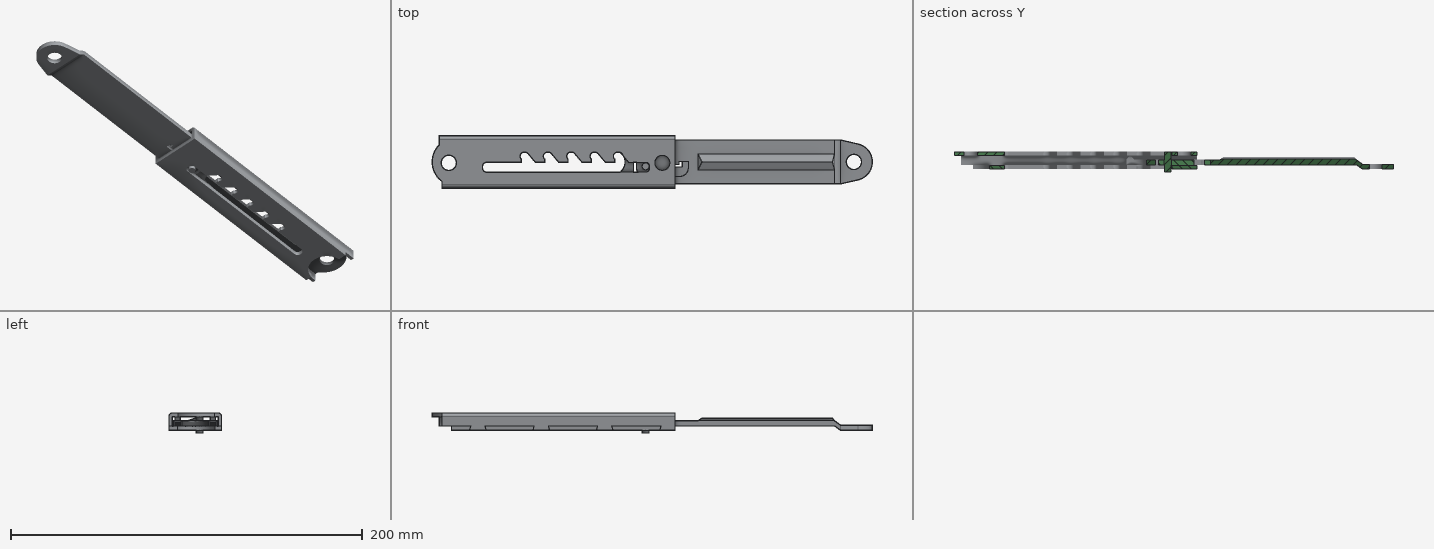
import cadquery as cq
import math

TOTAL_LENGTH = 250.2
WIDTH = 30.0
HALF_WIDTH = WIDTH / 2
HEIGHT = 10.0
HOLE_DIAMETER = 8.5

HOUSING_END = 138.0
TOP_THICKNESS = 2.3
WALL_THICKNESS = 2.0
BEND_RADIUS = 2.13
TIP_RADIUS = 13.8
WALL_STARTS = {1: 4.0, -1: 5.5}
HOUSING_HOLE_X = 9.5
ACCESS_HOLE_X = 130.8
HOLE_Y = -0.5

TAB_COUNT = 4
TAB_PITCH = 36.0
TAB_NECK = 8.0
TAB_FOOT = 9.5
FIRST_TAB_X = HOUSING_END - TAB_NECK / 2 - (TAB_COUNT - 1) * TAB_PITCH

SLOT_START = 28.8
SLOT_END = 123.5
SLOT_TOP = -0.3
SLOT_WIDTH = 5.5
SLOT_Y = SLOT_TOP - SLOT_WIDTH / 2
SLOT_CORNER = 2.3
NOTCH_COUNT = 5
NOTCH_PITCH = 13.3
FIRST_NOTCH_X = 50.0
NOTCH_RADIUS = 2.3
NOTCH_DEPTH = 5.5
NOTCH_FLAT = 0.5
NOTCH_SLOPE = math.radians(50)
NOTCH_LIP = 0.8

COVER_START = 11.0
COVER_THICKNESS = 2.5
COVER_RELIEF_RADIUS = 10.8

ARM_HALF_WIDTH = 12.5
ARM_THICKNESS = 3.0
ARM_BOTTOM = COVER_THICKNESS
ARM_TOP = ARM_BOTTOM + ARM_THICKNESS
ARM_START = 98.0
FORK_BOTTOM = 109.5
FORK_RADIUS = 7.5
STEP_START = 228.7
STEP_END = 232.2
END_RADIUS = 10.5
END_HOLE_X = TOTAL_LENGTH - END_RADIUS

RIDGE_START = 151.0
RIDGE_HALF_WIDTH = 4.5
RIDGE_HEIGHT = 1.5
RIDGE_INNER_TAPER = 2.3
RIDGE_OUTER_TAPER = 1.3

BUMP_Y = 10.0
BUMP_WIDTH = 3.0
BUMP_LENGTH = 4.5
BUMP_HEIGHT = HEIGHT - TOP_THICKNESS - ARM_TOP
FORK_BEVEL = 2.0

WINDOW_START = 114.5
LEVER_START = 116.0
LEVER_SHOULDER = 136.5
LEVER_END = 145.5
LEVER_TOP = 4.3
LEVER_BOTTOM = -8.3
LEVER_CORNER = 5.0
NECK_TOP = -2.8
NECK_GAP = 1.3
NOSE_TOP = 0.3
NOSE_START = 142.0
NOSE_GAP = 1.8

PIN_DIAMETER = 4.0
PIN_X = SLOT_END - SLOT_CORNER
PIN_Y = SLOT_TOP - SLOT_CORNER
PIN_PROJECTION = 1.5
PIN_TOP = HEIGHT


def box(x_start, x_end, y_start, y_end, z_start, z_end):
    return (
        cq.Workplane("XY")
        .box(x_end - x_start, y_end - y_start, z_end - z_start, centered=False)
        .translate((x_start, y_start, z_start))
    )


def upright_cylinder(x, y, diameter, z_start, z_end):
    return (
        cq.Workplane("XY", origin=(x, y, z_start))
        .circle(diameter / 2)
        .extrude(z_end - z_start)
    )


def side_profile(points, y_center, width):
    """Extrude an X-Z outline symmetrically about y_center."""
    return (
        cq.Workplane("XZ", origin=(0, y_center, 0))
        .polyline(points)
        .close()
        .extrude(width / 2, both=True)
    )


def notch_cutter(left):
    """Hooked notch: a rounded head leaning over a lip, with a long slope on its outer side."""
    head_x = left + NOTCH_RADIUS
    head_y = NOTCH_DEPTH - NOTCH_RADIUS
    shoulder_x = head_x + NOTCH_FLAT
    lip_x = left + NOTCH_LIP
    lip_y = head_y - math.sqrt(NOTCH_RADIUS**2 - (head_x - lip_x) ** 2)
    slope_x = shoulder_x + NOTCH_RADIUS * math.sin(NOTCH_SLOPE)
    slope_y = head_y + NOTCH_RADIUS * math.cos(NOTCH_SLOPE)
    foot_x = slope_x + (slope_y - SLOT_TOP) / math.tan(NOTCH_SLOPE)
    return (
        cq.Workplane("XY")
        .moveTo(lip_x, SLOT_Y)
        .lineTo(lip_x, lip_y)
        .threePointArc((left, head_y), (head_x, NOTCH_DEPTH))
        .lineTo(shoulder_x, NOTCH_DEPTH)
        .tangentArcPoint((slope_x, slope_y), relative=False)
        .lineTo(foot_x, SLOT_TOP)
        .lineTo(foot_x, SLOT_Y)
        .close()
        .extrude(HEIGHT)
    )


def slot_cutter():
    slot = box(SLOT_START, SLOT_END, SLOT_TOP - SLOT_WIDTH, SLOT_TOP, 0, HEIGHT)
    slot = slot.edges("|Z").fillet(SLOT_CORNER)
    for index in range(NOTCH_COUNT):
        slot = slot.union(notch_cutter(FIRST_NOTCH_X + index * NOTCH_PITCH))
    return slot


def dovetail_tabs():
    """Tabs of both walls, each widening downward through the cover thickness."""
    tabs = cq.Workplane("XY")
    for side in (1, -1):
        wall_middle = side * (HALF_WIDTH - WALL_THICKNESS / 2)
        for index in range(TAB_COUNT):
            x = FIRST_TAB_X + index * TAB_PITCH
            outline = [
                (x - TAB_FOOT / 2, 0),
                (x + TAB_FOOT / 2, 0),
                (x + TAB_NECK / 2, COVER_THICKNESS),
                (x - TAB_NECK / 2, COVER_THICKNESS),
            ]
            tabs = tabs.add(side_profile(outline, wall_middle, WALL_THICKNESS))
    within_length = box(0, HOUSING_END, -HALF_WIDTH, HALF_WIDTH, 0, COVER_THICKNESS)
    return tabs.combine().intersect(within_length)


def make_housing():
    channel = box(0, HOUSING_END, -HALF_WIDTH, HALF_WIDTH, COVER_THICKNESS, HEIGHT)
    channel = channel.edges("|X and >Z").fillet(BEND_RADIUS)
    inner_half_width = HALF_WIDTH - WALL_THICKNESS
    channel = channel.cut(
        box(0, HOUSING_END, -inner_half_width, inner_half_width, COVER_THICKNESS, HEIGHT - TOP_THICKNESS)
    )
    tip_disc = upright_cylinder(TIP_RADIUS, 0, 2 * TIP_RADIUS, 0, HEIGHT)
    for side, wall_start in WALL_STARTS.items():
        y_low, y_high = sorted((0, side * HALF_WIDTH))
        corner = box(0, wall_start, y_low, y_high, 0, HEIGHT)
        channel = channel.cut(corner.cut(tip_disc))
    for x in (HOUSING_HOLE_X, ACCESS_HOLE_X):
        channel = channel.cut(upright_cylinder(x, HOLE_Y, HOLE_DIAMETER, 0, HEIGHT))
    return channel.cut(slot_cutter()).union(dovetail_tabs())


def make_cover():
    plate = box(COVER_START, HOUSING_END, -HALF_WIDTH, HALF_WIDTH, 0, COVER_THICKNESS)
    relief = upright_cylinder(HOUSING_HOLE_X, HOLE_Y, 2 * COVER_RELIEF_RADIUS, 0, COVER_THICKNESS)
    return plate.cut(relief).cut(slot_cutter()).cut(dovetail_tabs())


def arm_strip():
    """Strip with its outer end stepped down level with the cover underside."""
    outline = [
        (ARM_START, ARM_BOTTOM),
        (STEP_START, ARM_BOTTOM),
        (STEP_END, 0),
        (TOTAL_LENGTH, 0),
        (TOTAL_LENGTH, ARM_THICKNESS),
        (STEP_END, ARM_THICKNESS),
        (STEP_START, ARM_TOP),
        (ARM_START, ARM_TOP),
    ]
    return side_profile(outline, 0, 2 * ARM_HALF_WIDTH)


def arm_plan():
    """Plan outline: straight sides running tangentially into the rounded end."""
    offset_x = END_HOLE_X - STEP_END
    corner_distance = math.hypot(offset_x, ARM_HALF_WIDTH)
    corner_angle = math.atan2(ARM_HALF_WIDTH, -offset_x)
    tangent_angle = corner_angle - math.acos(END_RADIUS / corner_distance)
    tangent_x = END_HOLE_X + END_RADIUS * math.cos(tangent_angle)
    tangent_y = END_RADIUS * math.sin(tangent_angle)
    return (
        cq.Workplane("XY")
        .moveTo(ARM_START, -ARM_HALF_WIDTH)
        .lineTo(STEP_END, -ARM_HALF_WIDTH)
        .lineTo(tangent_x, -tangent_y)
        .threePointArc((TOTAL_LENGTH, 0), (tangent_x, tangent_y))
        .lineTo(STEP_END, ARM_HALF_WIDTH)
        .lineTo(ARM_START, ARM_HALF_WIDTH)
        .close()
        .extrude(HEIGHT)
    )


def arm_ridge():
    """Stiffening ridge of triangular section with sloped ends."""
    crest = ARM_TOP + RIDGE_HEIGHT
    section = (
        cq.Workplane("YZ", origin=(RIDGE_START, 0, 0))
        .polyline([(-RIDGE_HALF_WIDTH, ARM_TOP), (RIDGE_HALF_WIDTH, ARM_TOP), (0, crest)])
        .close()
        .extrude(STEP_START - RIDGE_START)
    )
    ends = [
        (RIDGE_START, ARM_TOP),
        (STEP_START, ARM_TOP),
        (STEP_START - RIDGE_OUTER_TAPER, crest),
        (RIDGE_START + RIDGE_INNER_TAPER, crest),
    ]
    return section.intersect(side_profile(ends, 0, 2 * RIDGE_HALF_WIDTH))


def fork_cutter():
    """Round-bottomed opening between the fork legs."""
    arc_x = FORK_BOTTOM - FORK_RADIUS
    opening = box(ARM_START, arc_x, -FORK_RADIUS, FORK_RADIUS, 0, HEIGHT)
    return opening.union(upright_cylinder(arc_x, 0, 2 * FORK_RADIUS, 0, HEIGHT))


def fork_bump(side):
    """Ramped bump on one fork leg, bearing against the housing top."""
    outline = [
        (ARM_START, ARM_TOP),
        (ARM_START + BUMP_LENGTH, ARM_TOP),
        (ARM_START + BUMP_LENGTH / 2, ARM_TOP + BUMP_HEIGHT),
    ]
    return side_profile(outline, side * BUMP_Y, BUMP_WIDTH)


def fork_bevel(side):
    """Bevel under the tip of one fork leg, as wide as the bump above it."""
    outline = [
        (ARM_START, ARM_BOTTOM),
        (ARM_START + FORK_BEVEL, ARM_BOTTOM),
        (ARM_START, ARM_BOTTOM + FORK_BEVEL),
    ]
    return side_profile(outline, side * BUMP_Y, BUMP_WIDTH)


def window_cutter():
    """Window holding the lever, with clearance at its inner end and along its neck."""
    window_neck_top = NECK_TOP + NECK_GAP
    nose_pocket = NOSE_START - NOSE_GAP
    outline = [
        (WINDOW_START, LEVER_BOTTOM),
        (LEVER_END, LEVER_BOTTOM),
        (LEVER_END, NOSE_TOP),
        (nose_pocket, NOSE_TOP),
        (nose_pocket, window_neck_top),
        (LEVER_SHOULDER, window_neck_top),
        (LEVER_SHOULDER, LEVER_TOP),
        (WINDOW_START, LEVER_TOP),
    ]
    window = cq.Workplane("XY", origin=(0, 0, ARM_BOTTOM)).polyline(outline).close().extrude(ARM_THICKNESS)
    return window.edges("|Z and >X and <Y").fillet(LEVER_CORNER)


def make_arm():
    arm = arm_strip().intersect(arm_plan())
    arm = arm.cut(fork_cutter())
    arm = arm.cut(upright_cylinder(END_HOLE_X, 0, HOLE_DIAMETER, 0, HEIGHT))
    for side in (1, -1):
        arm = arm.union(fork_bump(side)).cut(fork_bevel(side))
    return arm.cut(window_cutter()).union(arm_ridge())


def make_lever():
    outline = [
        (LEVER_START, LEVER_BOTTOM),
        (LEVER_END, LEVER_BOTTOM),
        (LEVER_END, NOSE_TOP),
        (NOSE_START, NOSE_TOP),
        (NOSE_START, NECK_TOP),
        (LEVER_SHOULDER, NECK_TOP),
        (LEVER_SHOULDER, LEVER_TOP),
        (LEVER_START, LEVER_TOP),
    ]
    lever = cq.Workplane("XY", origin=(0, 0, ARM_BOTTOM)).polyline(outline).close().extrude(ARM_THICKNESS)
    lever = lever.edges("|Z and <Y").fillet(LEVER_CORNER)
    return lever.cut(upright_cylinder(PIN_X, PIN_Y, PIN_DIAMETER, 0, HEIGHT))


def make_pin():
    return upright_cylinder(PIN_X, PIN_Y, PIN_DIAMETER, -PIN_PROJECTION, PIN_TOP)


housing = make_housing()
cover = make_cover()
arm = make_arm()
lever = make_lever()
pin = make_pin()

bodies = [housing, cover, arm, lever, pin]
result = cq.Compound.makeCompound([body.solids().val() for body in bodies])